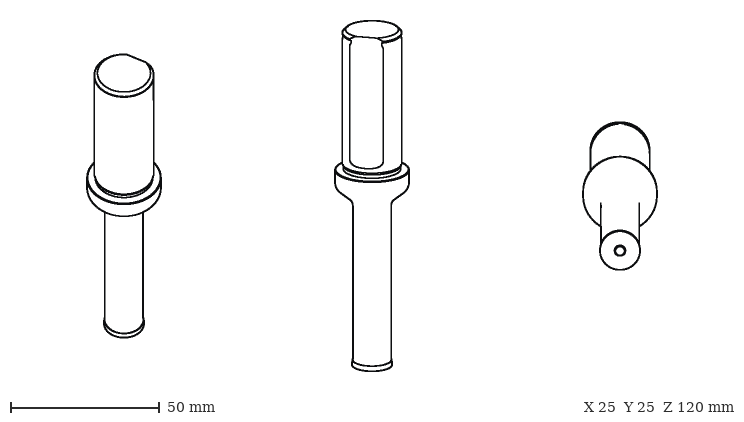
import cadquery as cq
import math

shank_radius = 20.0 / 2
shank_top = 120.0
top_chamfer_height = 1.1
top_chamfer_width = 1.1

relief_radius = 19.5 / 2
top_relief_start = 118.7
top_relief_upper = 118.3
top_relief_cone = 117.6
top_relief_lower = 116.5

neck_cone_top = 72.2
neck_top = 71.5
flare_height = 0.2
flare_radius = 21.2 / 2

flat_offset = 8.2
flat_end = 73.8
flat_end_round = 2.4

flange_radius = 25.0 / 2
flange_top = 70.1
flange_edge_chamfer = 0.2
flange_rim_bottom = 65.4
flange_round = 3.0
stem_round = 4.2
cone_angle = math.radians(50)

stem_radius = 13.0 / 2

tip_top = 2.2
tip_top_radius = 13.2 / 2
tip_radius = 13.5 / 2
tip_cone_bottom = 1.0
tip_face = 0.4
point_radius = 3.7 / 2
point_end_radius = 3.1 / 2


def revolve_about_z(profile):
    """Turn a closed radius-height profile into a solid about the Z axis."""
    return profile.close().revolve(360, (0, 0, 0), (0, 1, 0))


def add_tapered_blend(profile):
    """Continue a profile up from the stem wall to the flange rim: arc, cone, arc."""
    side = 1 - math.cos(cone_angle)
    rise = math.sin(cone_angle)
    half_side = 1 - math.cos(cone_angle / 2)
    half_rise = math.sin(cone_angle / 2)

    cone_top_radius = flange_radius - flange_round * side
    cone_top = flange_rim_bottom - flange_round * rise
    cone_bottom_radius = stem_radius + stem_round * side
    cone_bottom = cone_top - (cone_top_radius - cone_bottom_radius) / math.tan(cone_angle)
    stem_top = cone_bottom - stem_round * rise

    return (
        profile.lineTo(stem_radius, stem_top)
        .threePointArc(
            (stem_radius + stem_round * half_side, stem_top + stem_round * half_rise),
            (cone_bottom_radius, cone_bottom),
        )
        .lineTo(cone_top_radius, cone_top)
        .threePointArc(
            (flange_radius - flange_round * half_side, flange_rim_bottom - flange_round * half_rise),
            (flange_radius, flange_rim_bottom),
        )
    )


def make_flat_cutter():
    """Block that removes the flat, with its concave round end."""
    depth = shank_radius - flat_offset
    turn = math.acos(1 - depth / flat_end_round)
    round_start = flat_end + flat_end_round * math.sin(turn)
    arc_middle = (
        flat_offset + flat_end_round * (1 - math.cos(turn / 2)),
        round_start - flat_end_round * math.sin(turn / 2),
    )
    return (
        cq.Workplane("YZ")
        .moveTo(flat_offset, shank_top)
        .lineTo(flat_offset, round_start)
        .threePointArc(arc_middle, (shank_radius, flat_end))
        .lineTo(shank_radius, shank_top)
        .close()
        .extrude(shank_radius, both=True)
    )


def make_holder():
    """Stem, flange and shank turned as one piece, with the flat cut away."""
    profile = cq.Workplane("XZ").moveTo(0, tip_top).lineTo(stem_radius, tip_top)
    profile = (
        add_tapered_blend(profile)
        .lineTo(flange_radius, flange_top - flange_edge_chamfer)
        .lineTo(flange_radius - flange_edge_chamfer, flange_top)
        .lineTo(flare_radius, flange_top)
        .lineTo(relief_radius, flange_top + flare_height)
        .lineTo(relief_radius, neck_top)
        .lineTo(shank_radius, neck_cone_top)
        .lineTo(shank_radius, top_relief_lower)
        .lineTo(relief_radius, top_relief_cone)
        .lineTo(relief_radius, top_relief_upper)
        .lineTo(shank_radius, top_relief_start)
        .lineTo(shank_radius, shank_top - top_chamfer_height)
        .lineTo(shank_radius - top_chamfer_width, shank_top)
        .lineTo(0, shank_top)
    )
    return revolve_about_z(profile).cut(make_flat_cutter())


def make_tip():
    """Cutting tip: a slightly wider disc with a small blunt point."""
    profile = (
        cq.Workplane("XZ")
        .lineTo(point_end_radius, 0)
        .lineTo(point_radius, tip_face)
        .lineTo(tip_radius, tip_face)
        .lineTo(tip_radius, tip_cone_bottom)
        .lineTo(tip_top_radius, tip_top)
        .lineTo(0, tip_top)
    )
    return revolve_about_z(profile)


holder = make_holder()
tip = make_tip()
result = cq.Compound.makeCompound([holder.val(), tip.val()])